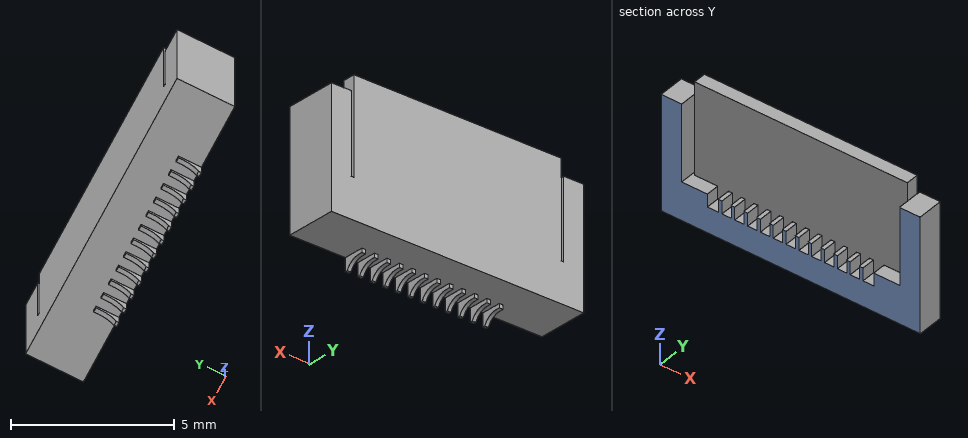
import cadquery as cq

housing_length = 10.1
housing_depth = 2.0
housing_height = 4.5

slot_length = 8.48
slot_front = 1.0
slot_depth = 3.0
slot_floor = housing_height - slot_depth

blade_length = 8.3
blade_thickness = 0.49
blade_rise = 0.6
blade_front = housing_depth - blade_thickness

contact_count = 12
contact_pitch = 0.5
contact_width = 0.15

recess_length = 6.48
recess_depth = 0.49

tail_depth = 0.8
tail_drop = 0.49
tail_heel_height = 0.15
tail_heel_flat = 0.15
tail_toe_width = 0.1


def block(length, front, rear, bottom, top, center_x=0.0):
    """Box centred on center_x, between the given Y and Z limits."""
    return (
        cq.Workplane("XY", origin=(center_x, (front + rear) / 2, bottom))
        .box(length, rear - front, top - bottom, centered=(True, True, False))
    )


def contact(center_x):
    """Contact strip in the recess, level with the slot floor."""
    return block(contact_width, slot_front, blade_front, slot_floor - recess_depth, slot_floor, center_x)


def solder_tail(center_x):
    """Tail with a concave rear edge sweeping from the heel down to the toe."""
    return (
        cq.Workplane("YZ", origin=(center_x, 0, 0))
        .moveTo(0, 0)
        .lineTo(tail_depth, 0)
        .lineTo(tail_depth, -tail_heel_height)
        .lineTo(tail_depth - tail_heel_flat, -tail_heel_height)
        .tangentArcPoint((tail_toe_width, -tail_drop), relative=False)
        .lineTo(0, -tail_drop)
        .close()
        .extrude(contact_width / 2, both=True)
    )


housing = block(housing_length, 0, housing_depth, 0, housing_height)
slot = block(slot_length, slot_front, housing_depth, slot_floor, housing_height)
recess = block(recess_length, slot_front, blade_front, slot_floor - recess_depth, slot_floor)
blade = block(blade_length, blade_front, housing_depth, slot_floor, housing_height + blade_rise)

result = housing.cut(slot).cut(recess).union(blade)

for index in range(contact_count):
    contact_x = (index - (contact_count - 1) / 2) * contact_pitch
    result = result.union(contact(contact_x)).union(solder_tail(contact_x))